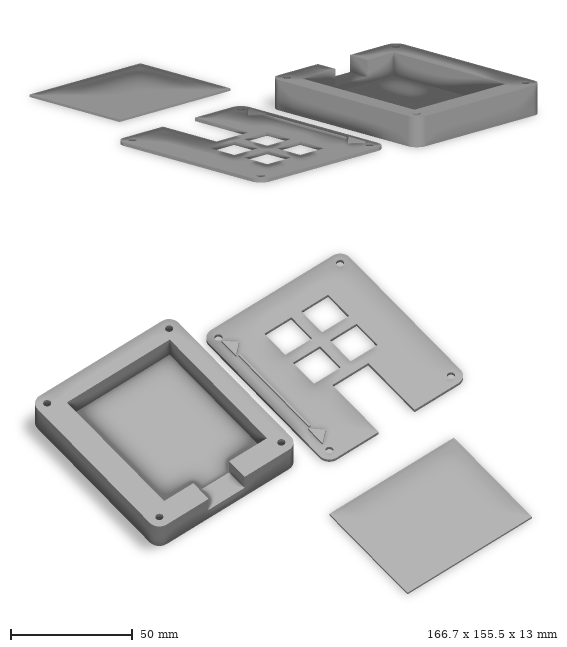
import cadquery as cq
CORNER_RADIUS = 5.0
SCREW_HOLE_DIAMETER = 3.3
SCREW_HOLE_INSET = 5.0
PORT_WIDTH = 18.7

CASE_LENGTH = 85.2
CASE_WIDTH = 73.5
CASE_HEIGHT = 13.0
CASE_X = 81.5
CASE_Y = 82.0
POCKET_LENGTH = 65.2
POCKET_WIDTH = 53.5
POCKET_WALL_LEFT = 10.3
POCKET_WALL_FRONT = 8.3
POCKET_FLOOR = 3.0
CASE_PORT_Y = 28.0
CASE_PORT_DEPTH = 7.3

PLATE_LENGTH = 84.4
PLATE_WIDTH = 73.4
PLATE_THICKNESS = 1.5
PLATE_X = 73.4
PLATE_SLOT_LENGTH = 31.0
PLATE_SLOT_Y = 27.8
WINDOW_SIZE = 14.0
WINDOW_PITCH = 19.2
WINDOW_COUNT = 2
WINDOW_X = 36.2
WINDOW_Y = 19.0

MARKER_HEIGHT = 1.0
TRIANGLE_BASE = 9.8
TRIANGLE_DEPTH = 5.3
TRIANGLE_PITCH = 58.0
TRIANGLE_COUNT = 2
TRIANGLE_X = 8.8
TRIANGLE_INSET = 4.5
TRIANGLE_BASE_Y = PLATE_WIDTH - TRIANGLE_INSET
BAR_LENGTH = 47.3
BAR_WIDTH = 0.8
BAR_X = 19.3
BAR_Y = 67.0

SHEET_LENGTH = 52.4
SHEET_WIDTH = 64.9
SHEET_THICKNESS = 1.0
SHEET_Y = 23.7


def block(length, width, height, x, y, z=0):
    """Box with its lowest corner at (x, y, z)."""
    return cq.Workplane("XY").box(length, width, height, centered=False).translate((x, y, z))


def rounded_slab(length, width, height):
    """Slab with rounded corners and a screw hole through each corner."""
    slab = block(length, width, height, 0, 0).edges("|Z").fillet(CORNER_RADIUS)
    hole_centers = [
        (x, y)
        for x in (SCREW_HOLE_INSET, length - SCREW_HOLE_INSET)
        for y in (SCREW_HOLE_INSET, width - SCREW_HOLE_INSET)
    ]
    return slab.faces(">Z").workplane(origin=(0, 0, height)).pushPoints(hole_centers).hole(SCREW_HOLE_DIAMETER)


def make_case():
    pocket = block(
        POCKET_LENGTH, POCKET_WIDTH, CASE_HEIGHT - POCKET_FLOOR,
        POCKET_WALL_LEFT, POCKET_WALL_FRONT, POCKET_FLOOR,
    )
    port = block(
        POCKET_WALL_LEFT, PORT_WIDTH, CASE_PORT_DEPTH,
        0, CASE_PORT_Y, CASE_HEIGHT - CASE_PORT_DEPTH,
    )
    case = rounded_slab(CASE_LENGTH, CASE_WIDTH, CASE_HEIGHT).cut(pocket).cut(port)
    return case.translate((CASE_X, CASE_Y, 0))


def make_plate():
    plate = rounded_slab(PLATE_LENGTH, PLATE_WIDTH, PLATE_THICKNESS)
    plate = plate.cut(block(PLATE_SLOT_LENGTH, PORT_WIDTH, PLATE_THICKNESS, 0, PLATE_SLOT_Y))
    for column in range(WINDOW_COUNT):
        for row in range(WINDOW_COUNT):
            window_x = WINDOW_X + column * WINDOW_PITCH
            window_y = WINDOW_Y + row * WINDOW_PITCH
            plate = plate.cut(block(WINDOW_SIZE, WINDOW_SIZE, PLATE_THICKNESS, window_x, window_y))
    return plate.translate((PLATE_X, 0, 0))


def make_triangle(index):
    """Raised triangle standing on the plate and pointing toward -Y."""
    left = PLATE_X + TRIANGLE_X + index * TRIANGLE_PITCH
    corners = [
        (left, TRIANGLE_BASE_Y),
        (left + TRIANGLE_BASE, TRIANGLE_BASE_Y),
        (left + TRIANGLE_BASE / 2, TRIANGLE_BASE_Y - TRIANGLE_DEPTH),
    ]
    outline = cq.Workplane("XY", origin=(0, 0, PLATE_THICKNESS)).polyline(corners).close()
    return outline.extrude(MARKER_HEIGHT)


def make_bar():
    """Raised thin bar standing on the plate between the triangles."""
    return block(BAR_LENGTH, BAR_WIDTH, MARKER_HEIGHT, PLATE_X + BAR_X, BAR_Y, PLATE_THICKNESS)


def make_sheet():
    return block(SHEET_LENGTH, SHEET_WIDTH, SHEET_THICKNESS, 0, SHEET_Y)


case = make_case()
plate = make_plate()
triangles = [make_triangle(index) for index in range(TRIANGLE_COUNT)]
bar = make_bar()
sheet = make_sheet()

result = cq.Compound.makeCompound(
    [case.val(), plate.val(), *[triangle.val() for triangle in triangles], bar.val(), sheet.val()]
)